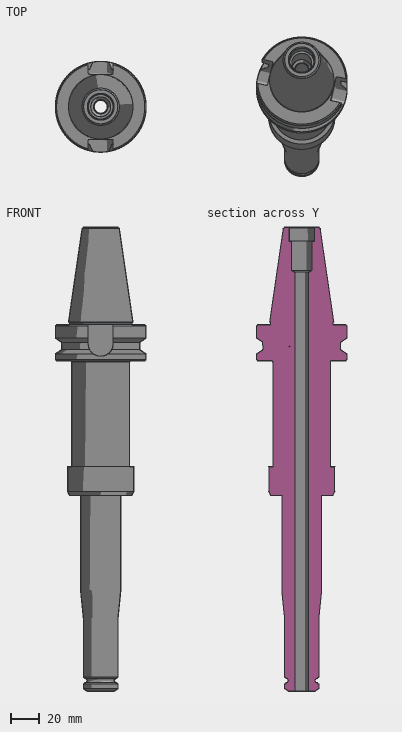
import cadquery as cq

TOTAL_LENGTH = 321.0

TAPER_LENGTH = 65.5
TAPER_RATIO = 7 / 24
GAUGE_DIAMETER = 44.5
TOP_DIAMETER = GAUGE_DIAMETER - TAPER_RATIO * TAPER_LENGTH
TOP_CHAMFER = 1.0
RELIEF_DIAMETER = 43.3
RELIEF_RUN = 0.5

FLANGE_DIAMETER = 63.0
FLANGE_TOP = 2.0
FLANGE_BOTTOM = 27.0
FLANGE_CHAMFER = 1.0
FLANGE_FACE_DIAMETER = FLANGE_DIAMETER - 2 * FLANGE_CHAMFER
GRIP_DIAMETER = 54.2
GRIP_TOP = 11.2
GRIP_BOTTOM = 22.0
GRIP_SLOPE_HEIGHT = 3.0

SLOT_WIDTH = 17.3
SLOT_FLOOR = 22.5
SLOT_END = 23.7
SLOT_FILLET = 1.0

BODY_DIAMETER = 40.0
ROOT_CHAMFER = 0.5
COLLAR_DIAMETER = 46.0
COLLAR_TOP = 100.0
COLLAR_BOTTOM = 120.0
COLLAR_CHAMFER_HEIGHT = 3.0
COLLAR_CHAMFER_WIDTH = 1.3

SHANK_DIAMETER = 28.0
SHANK_END = 185.5
NOSE_DIAMETER = 24.0
NOSE_START = 204.7
TIP = TOTAL_LENGTH - TAPER_LENGTH
NOSE_END = TIP - 10.0
NECK_EDGE_DIAMETER = 21.5
NECK_DIAMETER = 19.0
NECK_TOP = TIP - 9.0
NECK_BOTTOM = TIP - 6.0
RIM_TOP = TIP - 5.0
RIM_BOTTOM = TIP - 2.0
TIP_DIAMETER = 18.3

MOUTH_DIAMETER = 18.5
MOUTH_CHAMFER = 0.5
COUNTERBORE_DIAMETER = 17.0
COUNTERBORE_DEPTH = 9.5
THREAD_DIAMETER = 13.8
THREAD_DEPTH = 30.0
DRILL_END_DIAMETER = 10.0
DRILL_END_DEPTH = 31.0
THROUGH_DIAMETER = 9.0


def revolve_profile(points):
    """Revolve (diameter, level) points about Z, closing the outline along the axis."""
    side = [(diameter / 2, level) for diameter, level in points]
    outline = [(0, side[0][1]), *side, (0, side[-1][1])]
    return cq.Workplane("XZ").polyline(outline).close().revolve(360, (0, 0, 0), (0, 1, 0))


def make_body():
    """Outer shape from the top of the taper down to the tip."""
    return revolve_profile([
        (TOP_DIAMETER - 2 * TOP_CHAMFER, TAPER_LENGTH),
        (TOP_DIAMETER + TAPER_RATIO * TOP_CHAMFER, TAPER_LENGTH - TOP_CHAMFER),
        (GAUGE_DIAMETER, 0),
        (RELIEF_DIAMETER, -RELIEF_RUN),
        (RELIEF_DIAMETER, -FLANGE_TOP),
        (FLANGE_FACE_DIAMETER, -FLANGE_TOP),
        (FLANGE_DIAMETER, -FLANGE_TOP - FLANGE_CHAMFER),
        (FLANGE_DIAMETER, -GRIP_TOP),
        (GRIP_DIAMETER, -GRIP_TOP - GRIP_SLOPE_HEIGHT),
        (GRIP_DIAMETER, -GRIP_BOTTOM + GRIP_SLOPE_HEIGHT),
        (FLANGE_DIAMETER, -GRIP_BOTTOM),
        (FLANGE_DIAMETER, -FLANGE_BOTTOM + FLANGE_CHAMFER),
        (FLANGE_FACE_DIAMETER, -FLANGE_BOTTOM),
        (BODY_DIAMETER + 2 * ROOT_CHAMFER, -FLANGE_BOTTOM),
        (BODY_DIAMETER, -FLANGE_BOTTOM - ROOT_CHAMFER),
        (BODY_DIAMETER, -COLLAR_TOP),
        (COLLAR_DIAMETER, -COLLAR_TOP),
        (COLLAR_DIAMETER, -COLLAR_BOTTOM + COLLAR_CHAMFER_HEIGHT),
        (COLLAR_DIAMETER - 2 * COLLAR_CHAMFER_WIDTH, -COLLAR_BOTTOM),
        (SHANK_DIAMETER, -COLLAR_BOTTOM),
        (SHANK_DIAMETER, -SHANK_END),
        (NOSE_DIAMETER, -NOSE_START),
        (NOSE_DIAMETER, -NOSE_END),
        (NECK_EDGE_DIAMETER, -NECK_TOP),
        (NECK_EDGE_DIAMETER, -NECK_BOTTOM),
        (NOSE_DIAMETER, -RIM_TOP),
        (NOSE_DIAMETER, -RIM_BOTTOM),
        (TIP_DIAMETER, -TIP),
    ])


def make_neck_groove():
    """Round-bottomed ring groove just above the tip rim."""
    middle = (NECK_TOP + NECK_BOTTOM) / 2
    edge_radius = NECK_EDGE_DIAMETER / 2
    profile = (
        cq.Workplane("XZ")
        .moveTo(edge_radius, -NECK_TOP)
        .threePointArc((NECK_DIAMETER / 2, -middle), (edge_radius, -NECK_BOTTOM))
        .close()
    )
    return profile.revolve(360, (0, 0, 0), (0, 1, 0))


def make_bore():
    """Counterbore, thread hole with a conical end, and through hole."""
    return revolve_profile([
        (MOUTH_DIAMETER, TAPER_LENGTH),
        (COUNTERBORE_DIAMETER, TAPER_LENGTH - MOUTH_CHAMFER),
        (COUNTERBORE_DIAMETER, TAPER_LENGTH - COUNTERBORE_DEPTH),
        (THREAD_DIAMETER, TAPER_LENGTH - COUNTERBORE_DEPTH),
        (THREAD_DIAMETER, TAPER_LENGTH - THREAD_DEPTH),
        (DRILL_END_DIAMETER, TAPER_LENGTH - DRILL_END_DEPTH),
        (THROUGH_DIAMETER, TAPER_LENGTH - DRILL_END_DEPTH),
        (THROUGH_DIAMETER, -TIP),
    ])


def make_slot():
    """Drive slot on the -Y side: flat floor, round lower end, filleted floor edges."""
    radius = SLOT_WIDTH / 2
    arc_start = SLOT_END - radius
    profile = (
        cq.Workplane("XZ", origin=(0, -SLOT_FLOOR, 0))
        .moveTo(-radius, 0)
        .lineTo(-radius, -arc_start)
        .threePointArc((0, -SLOT_END), (radius, -arc_start))
        .lineTo(radius, 0)
        .close()
    )
    slot = profile.extrude(FLANGE_DIAMETER / 2)
    return slot.faces(">Y").edges().fillet(SLOT_FILLET)


result = make_body().cut(make_neck_groove()).cut(make_bore())
for angle in (0, 180):
    result = result.cut(make_slot().rotate((0, 0, 0), (0, 0, 1), angle))